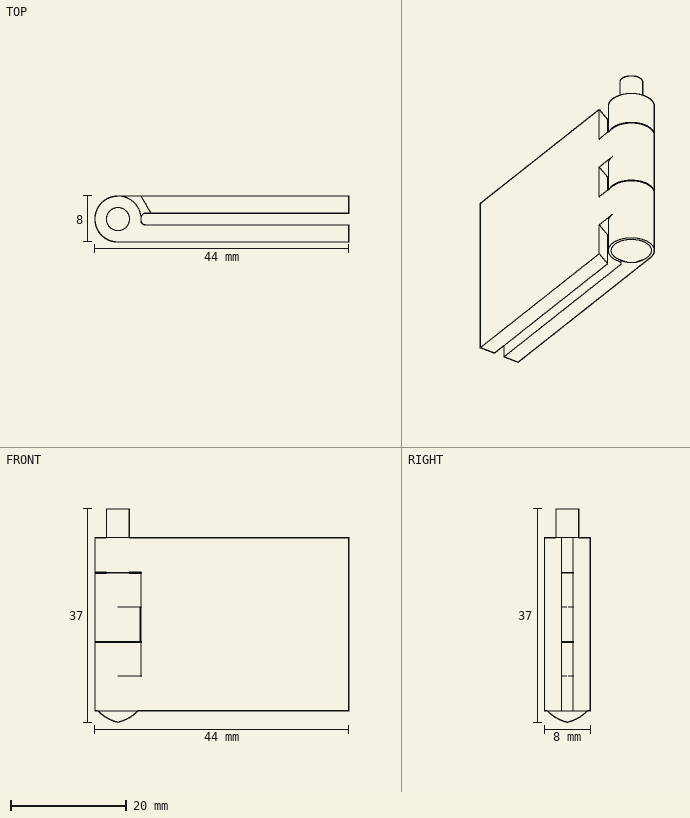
import cadquery as cq
import math

barrel_radius = 4.0
pin_radius = 2.0
leaf_end_x = 40.0
leaf_thickness = 3.0
hinge_height = 30.0

knuckle_count = 5
knuckle_pitch = hinge_height / knuckle_count
knuckle_clearance = 0.15

pin_projection = 5.0
head_radius = 3.5
head_height = 2.0
head_bulge = 0.3

root_fillet = 0.8
notch_slant = 30.0
notch_outer_x = barrel_radius
notch_inner_x = notch_outer_x + leaf_thickness * math.tan(math.radians(notch_slant))
groove_width = 0.2
groove_web = 0.2

inner_face_y = barrel_radius - leaf_thickness


def prism(outline, bottom, height):
    """Extrude a closed XY outline upwards from the level bottom."""
    return outline.extrude(height).translate((0, 0, bottom))


def knuckle_profile():
    """Barrel with a leaf root on the -Y side, filleted into the barrel."""
    fillet_center_y = -inner_face_y + root_fillet
    center_distance = barrel_radius + root_fillet
    fillet_center_x = math.sqrt(center_distance**2 - fillet_center_y**2)
    barrel_share = barrel_radius / center_distance
    barrel_tangent = (fillet_center_x * barrel_share, fillet_center_y * barrel_share)
    leaf_tangent = (fillet_center_x, -inner_face_y)
    barrel_angle = math.atan2(-fillet_center_y, -fillet_center_x) % (2 * math.pi)
    leaf_angle = 1.5 * math.pi
    middle_angle = (barrel_angle + leaf_angle) / 2
    fillet_middle = (
        fillet_center_x + root_fillet * math.cos(middle_angle),
        fillet_center_y + root_fillet * math.sin(middle_angle),
    )
    return (
        cq.Workplane("XY")
        .moveTo(0, -barrel_radius)
        .lineTo(notch_outer_x, -barrel_radius)
        .lineTo(notch_inner_x, -inner_face_y)
        .lineTo(*leaf_tangent)
        .threePointArc(fillet_middle, barrel_tangent)
        .threePointArc((-barrel_radius, 0), (0, -barrel_radius))
        .close()
    )


def leaf_plate():
    """Full-height plate on the -Y side, ending in the slanted notch face."""
    outline = cq.Workplane("XY").polyline([
        (notch_outer_x, -barrel_radius),
        (leaf_end_x, -barrel_radius),
        (leaf_end_x, -inner_face_y),
        (notch_inner_x, -inner_face_y),
    ]).close()
    return prism(outline, 0, hinge_height)


def leaf(knuckle_indices, clearance):
    """Plate on the -Y side with knuckles at the given positions, counted from the bottom."""
    body = leaf_plate()
    for index in knuckle_indices:
        knuckle = prism(knuckle_profile(), index * knuckle_pitch, knuckle_pitch - clearance)
        body = body.union(knuckle)
    return body


def middle_groove():
    """V groove between the middle knuckle's root and the front plate."""
    depth_share = 1 - groove_web / leaf_thickness
    apex_x = notch_outer_x + depth_share * (notch_inner_x - notch_outer_x)
    outline = cq.Workplane("XY").polyline([
        (notch_outer_x - groove_width, -barrel_radius),
        (notch_outer_x, -barrel_radius),
        (apex_x, -inner_face_y - groove_web),
    ]).close()
    return prism(outline, knuckle_count // 2 * knuckle_pitch, knuckle_pitch)


def pin():
    """Pin projecting above the barrel, with a pointed dome head below it."""
    slant = math.hypot(head_radius, head_height)
    bulge_point = (
        head_radius / 2 + head_bulge * head_height / slant,
        -head_height / 2 - head_bulge * head_radius / slant,
    )
    top = hinge_height + pin_projection
    return (
        cq.Workplane("XZ")
        .moveTo(0, -head_height)
        .threePointArc(bulge_point, (head_radius, 0))
        .lineTo(pin_radius, 0)
        .lineTo(pin_radius, top)
        .lineTo(0, top)
        .close()
        .revolve(360, (0, 0, 0), (0, 1, 0))
    )


front_leaf = leaf(range(0, knuckle_count, 2), 0).cut(middle_groove())
rear_leaf = leaf(range(1, knuckle_count, 2), knuckle_clearance).mirror("XZ")

result = front_leaf.union(rear_leaf, clean=False).union(pin(), clean=False)